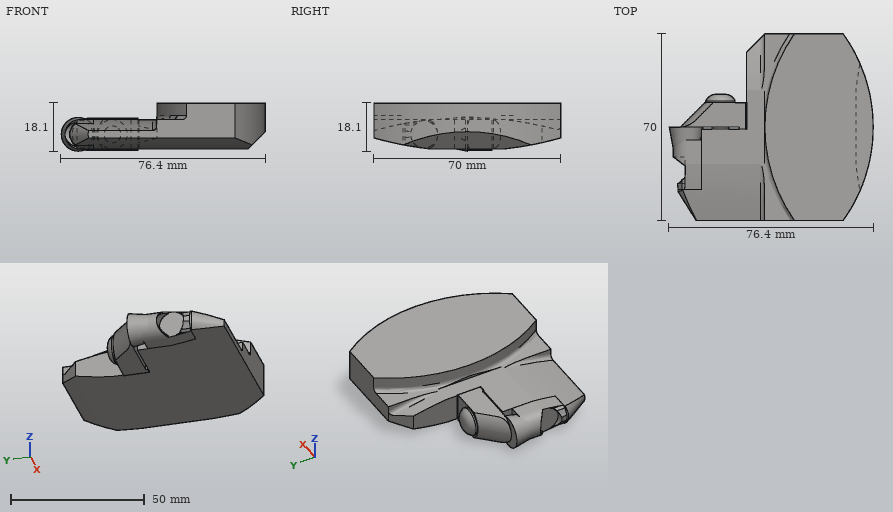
import cadquery as cq
import math


length_x = 76.4
width_y = 70.0
half_width = width_y / 2
top_z = 11.7
reach = 2 * length_x

plate_half_thickness = 5.5
flat_half_width = 13.8
lens_radius = 128.0

shelf_x = 35.75
shelf_fillet = 1.6
deck_left_x = 35.8
deck_left_corner_x = 46.9
deck_right_corner_x = 65.1
deck_fillet = 1.5
bottom_chamfer = 6.5

arm_left_x = 28.9
arm_corner = 6.95
relief_x = 29.1
relief_top_y = 9.2
seat_y = -0.7
nose_seat_x = 12.1
nose_end_y = -23.4
tip_x = 3.3
tip_bend_y = -24.15
tip_end_x = 10.1

jaw_half_thickness = 6.0
jaw_left_x = 4.1
jaw_right_x = 28.65
jaw_width = relief_top_y
jaw_bevel_bulge = 2.2
foot_left_x = 26.1

collar_radius = 6.35
collar_end_radius = 4.7
collar_length = 8.9
nose_start_y = -4.7
nose_left_x = 1.45
notch_upper_y = -11.1
notch_floor_x = 5.95
bore_y = -16.1
bore_radius = 5.05
notch_floor_half_width = 1.6
notch_lower_x = 3.0
notch_lower_y = -20.5

nose_flats = [(5.9, 4.3), (4.7, 3.5), (3.75, 1.8), (notch_lower_x, 0.9)]

screw_x = 19.2
head_diameter = 11.1
head_rim = 0.7
head_height = 3.2
head_flat_radius = 1.7
shank_diameter = 6.35


def prism(points, z_low, z_high):
    """Straight-sided block over a plan outline."""
    return cq.Workplane("XY").workplane(offset=z_low).polyline(points).close().extrude(z_high - z_low)


def box_between(x_low, x_high, y_low, y_high, half_height):
    corners = [(x_low, y_low), (x_high, y_low), (x_high, y_high), (x_low, y_high)]
    return prism(corners, -half_height, half_height)


def rounded_edge_slab(start, end, half_thickness, bulge):
    """Large slab whose edge, bulging outwards, has its crest along start-end; material on the left."""
    run_x = end[0] - start[0]
    run_y = end[1] - start[1]
    plane = cq.Plane(
        origin=(start[0], start[1], 0),
        xDir=(-run_y, run_x, 0),
        normal=(run_x, run_y, 0),
    )
    return (
        cq.Workplane(plane)
        .moveTo(reach, half_thickness)
        .lineTo(bulge, half_thickness)
        .threePointArc((0, 0), (bulge, -half_thickness))
        .lineTo(reach, -half_thickness)
        .close()
        .extrude(reach, both=True)
    )


def lens_height(y):
    """Height of the thinning arc above mid-thickness."""
    centre_z = plate_half_thickness - math.sqrt(lens_radius**2 - flat_half_width**2)
    return centre_z + math.sqrt(lens_radius**2 - y**2)


def lens_trim():
    """Everything above the thinning arc, to be cut from the plate's top."""
    return (
        cq.Workplane("YZ")
        .moveTo(-half_width, lens_height(half_width))
        .threePointArc((0, lens_height(0)), (half_width, lens_height(half_width)))
        .lineTo(half_width, reach)
        .lineTo(-half_width, reach)
        .close()
        .extrude(reach, both=True)
    )


def shelf_trim():
    """Top trim that ends at the shelf wall with a rounded root."""
    left_half = box_between(-reach, shelf_x, -half_width, half_width, 2 * reach)
    trim = lens_trim().intersect(left_half)
    return trim.faces(">X").edges("%CIRCLE").fillet(shelf_fillet)


def deck_trim():
    """Space beside the deck's left arc, down to the shelf, with a rounded root."""
    space = (
        cq.Workplane("XY")
        .workplane(offset=plate_half_thickness)
        .moveTo(deck_left_corner_x, -half_width)
        .threePointArc((deck_left_x, 0), (deck_left_corner_x, half_width))
        .lineTo(0, half_width)
        .lineTo(0, -half_width)
        .close()
        .extrude(reach)
    )
    return space.faces("<Z").edges(">X").fillet(deck_fillet)


def base_blank():
    """Full-height block over the base's plan outline."""
    return (
        cq.Workplane("XY")
        .workplane(offset=-plate_half_thickness)
        .moveTo(tip_end_x, -half_width)
        .lineTo(deck_right_corner_x, -half_width)
        .threePointArc((length_x, 0), (deck_right_corner_x, half_width))
        .lineTo(arm_left_x + arm_corner, half_width)
        .lineTo(arm_left_x, half_width - arm_corner)
        .lineTo(arm_left_x, relief_top_y)
        .lineTo(relief_x, relief_top_y)
        .lineTo(relief_x, seat_y)
        .lineTo(nose_seat_x, seat_y)
        .lineTo(nose_seat_x, nose_end_y)
        .lineTo(tip_x, nose_end_y)
        .lineTo(tip_x, tip_bend_y)
        .close()
        .extrude(top_z + plate_half_thickness)
    )


def make_base():
    base = base_blank()

    left_space = box_between(-reach, shelf_x, -half_width, half_width, reach)
    base = base.cut(left_space.translate((0, 0, reach + plate_half_thickness)))
    base = base.cut(deck_trim())

    base = base.cut(shelf_trim())
    base = base.cut(lens_trim().mirror("XY"))

    bevel_x = length_x - bottom_chamfer
    bevel = (
        cq.Workplane("XZ")
        .moveTo(bevel_x, -plate_half_thickness)
        .lineTo(length_x, -plate_half_thickness)
        .lineTo(length_x, bottom_chamfer - plate_half_thickness)
        .close()
        .extrude(half_width, both=True)
    )
    base = base.cut(bevel)

    tip_block = box_between(0, nose_seat_x, -half_width, nose_end_y, plate_half_thickness)
    tip_bend = (tip_x, tip_bend_y)
    tip_rounding = tip_block
    for start, end in [((tip_x, nose_end_y), tip_bend), (tip_bend, (tip_end_x, -half_width))]:
        slab = rounded_edge_slab(start, end, plate_half_thickness, plate_half_thickness)
        tip_rounding = tip_rounding.intersect(slab)
    return base.cut(tip_block.cut(tip_rounding))


def make_jaw():
    outline = [
        (jaw_left_x, 0),
        (foot_left_x, 0),
        (foot_left_x, seat_y),
        (jaw_right_x, seat_y),
        (jaw_right_x, jaw_width),
        (jaw_left_x + jaw_width, jaw_width),
    ]
    jaw = prism(outline, -jaw_half_thickness, jaw_half_thickness)
    end_rounding = rounded_edge_slab(
        (jaw_left_x, jaw_width), (jaw_left_x, 0), jaw_half_thickness, jaw_half_thickness
    )
    bevel_rounding = rounded_edge_slab(
        (jaw_left_x + jaw_width, jaw_width), (jaw_left_x, 0), jaw_half_thickness, jaw_bevel_bulge
    )
    return jaw.intersect(end_rounding).intersect(bevel_rounding)


def make_screw():
    head_top_y = jaw_width + head_height
    screw = (
        cq.Workplane("XY")
        .moveTo(0, head_top_y)
        .lineTo(head_flat_radius, head_top_y)
        .tangentArcPoint((head_diameter / 2, jaw_width + head_rim), relative=False)
        .lineTo(head_diameter / 2, jaw_width)
        .lineTo(shank_diameter / 2, jaw_width)
        .lineTo(shank_diameter / 2, seat_y)
        .lineTo(0, seat_y)
        .close()
        .revolve(360, (0, 0, 0), (0, 1, 0))
    )
    return screw.translate((screw_x, 0, 0))


def make_collar():
    collar = (
        cq.Workplane("XY")
        .polyline([(0, 0), (collar_radius, 0), (collar_end_radius, -collar_length), (0, -collar_length)])
        .close()
        .revolve(360, (0, 0, 0), (0, 1, 0))
        .translate((collar_radius, 0, 0))
    )
    base_side = box_between(nose_seat_x, length_x, -half_width, seat_y, collar_radius)
    return collar.cut(base_side)


def make_nose():
    outline = [
        (nose_left_x, nose_start_y),
        (nose_left_x, notch_upper_y),
        (notch_floor_x, bore_y + notch_floor_half_width),
        (notch_floor_x, bore_y - notch_floor_half_width),
        (notch_lower_x, notch_lower_y),
        (tip_x, nose_end_y),
        (nose_seat_x, nose_end_y),
        (nose_seat_x, nose_start_y),
    ]
    nose = prism(outline, -plate_half_thickness, plate_half_thickness)
    edge_rounding = rounded_edge_slab(
        (nose_left_x, 0), (nose_left_x, nose_end_y), plate_half_thickness, plate_half_thickness
    )
    nose = nose.intersect(edge_rounding)
    nose = nose.cut(lens_trim()).cut(lens_trim().mirror("XY"))

    lower_flats = [(x, -z) for x, z in reversed(nose_flats)]
    top_corner_x = nose_flats[0][0]
    beyond_flats = [
        (top_corner_x, -collar_radius),
        (0, -collar_radius),
        (0, collar_radius),
        (top_corner_x, collar_radius),
    ]
    flats_trim = (
        cq.Workplane("XZ", origin=(0, bore_y, 0))
        .polyline(nose_flats + lower_flats + beyond_flats)
        .close()
        .extrude(bore_y - nose_end_y)
    )
    nose = nose.cut(flats_trim)

    bore = (
        cq.Workplane("YZ", origin=(notch_floor_x, bore_y, 0))
        .circle(bore_radius)
        .extrude(-notch_floor_x)
    )
    return nose.cut(bore)


base = make_base()
clamp = make_jaw().union(make_screw()).union(make_collar()).union(make_nose())

result = cq.Compound.makeCompound([base.val(), clamp.val()])